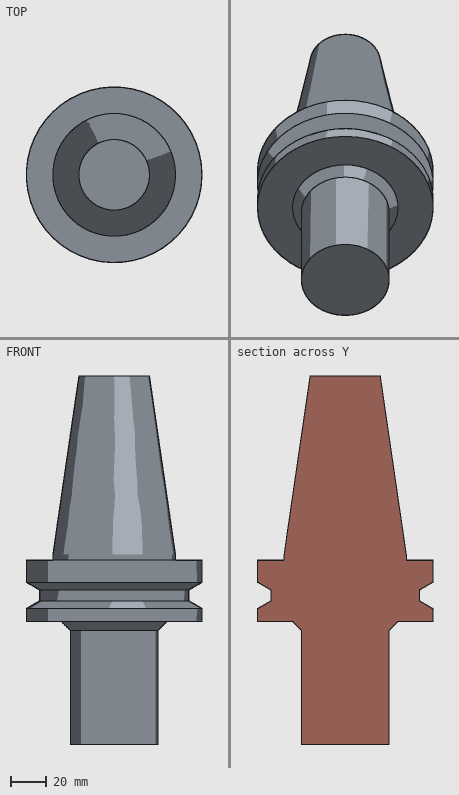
import math

import cadquery as cq

gauge_diameter = 69.85
taper_length = 101.8
taper_ratio = 7 / 24
small_end_diameter = gauge_diameter - taper_ratio * taper_length

flange_diameter = 100.0
flange_gap = 3.0
flange_thickness = 35.0
groove_diameter = 85.0
groove_floor_width = 6.2
groove_flank_angle = 30.0
lower_land = 7.5

nose_diameter = 50.0
nose_length = 70.0
collar_diameter = 60.0
collar_height = 5.0

flange_top = -flange_gap
flange_bottom = flange_top - flange_thickness
nose_end = flange_bottom - nose_length
groove_flank_height = (flange_diameter - groove_diameter) / 2 * math.tan(math.radians(groove_flank_angle))
groove_lower_edge = flange_bottom + lower_land
groove_floor_bottom = groove_lower_edge + groove_flank_height
groove_floor_top = groove_floor_bottom + groove_floor_width
groove_upper_edge = groove_floor_top + groove_flank_height


def make_body():
    """Revolve the half profile, given as (diameter, height) from top to bottom."""
    steps = [
        (0, taper_length),
        (small_end_diameter, taper_length),
        (gauge_diameter, 0),
        (gauge_diameter, flange_top),
        (flange_diameter, flange_top),
        (flange_diameter, groove_upper_edge),
        (groove_diameter, groove_floor_top),
        (groove_diameter, groove_floor_bottom),
        (flange_diameter, groove_lower_edge),
        (flange_diameter, flange_bottom),
        (collar_diameter, flange_bottom),
        (nose_diameter, flange_bottom - collar_height),
        (nose_diameter, nose_end),
        (0, nose_end),
    ]
    profile = [(diameter / 2, height) for diameter, height in steps]
    return cq.Workplane("XZ").polyline(profile).close().revolve(360, (0, 0), (0, 1))


result = make_body()